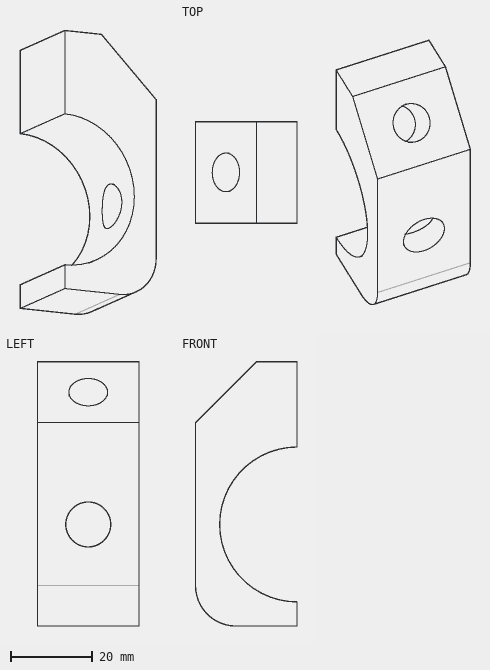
import cadquery as cq
import math

depth = 25.0
width = 25.0
height = 65.0
bore_radius = 19.0
bore_height = 25.0
corner_radius = 10.0
bevel_leg = 15.0
cross_hole_diameter = 11.0
bevel_hole_diameter = 9.5
bevel_hole_depth = 12.5


def clamp_body():
    """Clamp half: an XZ profile extruded symmetrically about Y = 0."""
    corner_inset = corner_radius * (1 - math.sqrt(0.5))
    profile = (
        cq.Workplane("XZ")
        .moveTo(corner_radius, 0)
        .lineTo(depth, 0)
        .lineTo(depth, bore_height - bore_radius)
        .threePointArc((depth - bore_radius, bore_height), (depth, bore_height + bore_radius))
        .lineTo(depth, height)
        .lineTo(bevel_leg, height)
        .lineTo(0, height - bevel_leg)
        .lineTo(0, corner_radius)
        .threePointArc((corner_inset, corner_inset), (corner_radius, 0))
        .close()
    )
    return profile.extrude(width / 2, both=True)


def cross_hole():
    """Hole along X from the outer face into the seat, on the seat axis height."""
    return cq.Workplane("YZ").center(0, bore_height).circle(cross_hole_diameter / 2).extrude(depth)


def bevel_hole():
    """Flat-bottomed hole square to the bevel, starting at its centre."""
    bevel_plane = cq.Plane(
        origin=(bevel_leg / 2, 0, height - bevel_leg / 2),
        xDir=(0, 1, 0),
        normal=(1, 0, -1),
    )
    return cq.Workplane(bevel_plane).circle(bevel_hole_diameter / 2).extrude(bevel_hole_depth)


result = clamp_body().cut(cross_hole()).cut(bevel_hole())